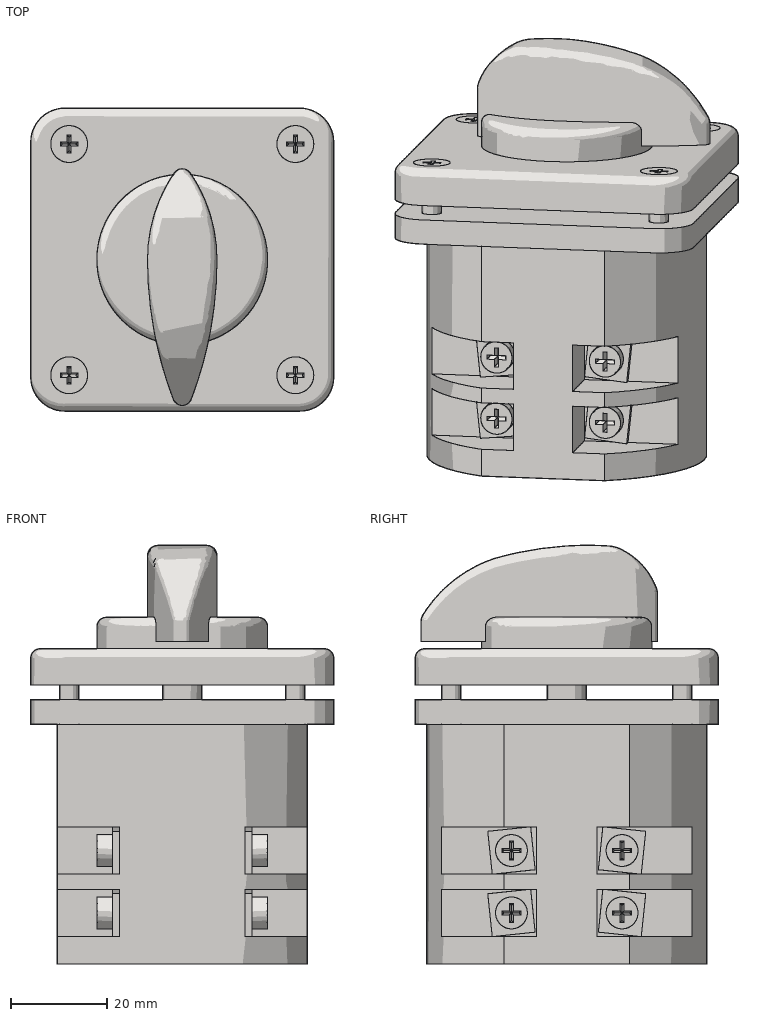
import cadquery as cq
import math

PLATE_SIZE = 63.0
CORNER_RADIUS = 7.1
EDGE_ROUND = 2.0

FLANGE_BOTTOM = 49.75
FLANGE_TOP = 54.9
COVER_BOTTOM = 57.9
COVER_TOP = 65.5
DISC_TOP = 72.0
HANDLE_BOTTOM = 67.0
KNOB_TOP = 87.0

FLAT_HALF_WIDTH = 26.0
FLAT_HALF_LENGTH = 13.05
DRUM_RADIUS = math.hypot(FLAT_HALF_WIDTH, FLAT_HALF_LENGTH)
SHAFT_RADIUS = 4.1

POCKET_FLOOR_X = 13.05
POCKET_WALL_Y = 6.3
POCKET_HEIGHT = 9.8
POCKET_LEVELS = (10.6, 23.6)

TERMINAL_Y = 11.5
CLAMP_SIZE = 9.0
CLAMP_THICKNESS = 1.5
CLAMP_TILT = 6
TERMINAL_HEAD_RADIUS = 3.3
TERMINAL_HEAD_HEIGHT = 3.1
TERMINAL_CROSS_LENGTH = 4.0
CROSS_WIDTH = 0.9
CROSS_DEPTH = 2.0

SCREW_X = 23.5
SCREW_Y = 24.0
SCREW_HEAD_RADIUS = 3.8
SCREW_HEAD_HEIGHT = 2.6
SCREW_SHANK_RADIUS = 2.0
SCREW_CROSS_LENGTH = 3.65

DISC_RADIUS = 17.75
HANDLE_HALF_WIDTH = 7.2
HANDLE_BACK_Y = 18.9
HANDLE_FRONT_Y = -30.3
TIP_RADIUS = 2.0

BACK_TIP_TOP = (HANDLE_BACK_Y, 77.3)
BACK_ARC_MIDDLE = (15.0, 83.6)
CROWN_BACK_Y = 9.8
CROWN_APEX_Y = 4.35
CROWN_FRONT_Y = -15.1
CROWN_RADIUS = 69.6
CROWN_BLEND_RADIUS = 7.0
FRONT_ARC_MIDDLE = (-23.1, 79.9)
FRONT_TIP_TOP = (HANDLE_FRONT_Y, 71.85)

SCREW_POSITIONS = [(sx * SCREW_X, sy * SCREW_Y) for sx in (-1, 1) for sy in (-1, 1)]


def rounded_plate(bottom, top):
    """Square plate with rounded vertical corners."""
    plate = cq.Workplane("XY").workplane(offset=bottom).rect(PLATE_SIZE, PLATE_SIZE).extrude(top - bottom)
    return plate.edges("|Z").fillet(CORNER_RADIUS)


def cross_recess(length):
    """Cross recess of two V-grooves with sloping ends, with its mouth at Z = 0, cut downwards."""
    half_width = CROSS_WIDTH / 2
    half_length = length / 2
    ridge_half_length = half_length - half_width
    groove = (
        cq.Workplane("YZ").workplane(offset=-half_length)
        .polyline([(-half_width, 0), (half_width, 0), (0, -CROSS_DEPTH)])
        .close().extrude(length)
    )
    sloping_ends = (
        cq.Workplane("XZ").workplane(offset=-half_width)
        .polyline([(-half_length, 0), (half_length, 0),
                   (ridge_half_length, -CROSS_DEPTH), (-ridge_half_length, -CROSS_DEPTH)])
        .close().extrude(CROSS_WIDTH)
    )
    arm = groove.intersect(sloping_ends)
    return arm.union(arm.rotate((0, 0, 0), (0, 0, 1), 90))


def cover_screw(x, y):
    """Flush-headed screw running from the cover's top face to the flange's underside."""
    shank = cq.Workplane("XY").workplane(offset=FLANGE_BOTTOM).circle(SCREW_SHANK_RADIUS)
    screw = shank.extrude(COVER_TOP - FLANGE_BOTTOM)
    head = cq.Workplane("XY").workplane(offset=COVER_TOP).circle(SCREW_HEAD_RADIUS).extrude(-SCREW_HEAD_HEIGHT)
    recess = cross_recess(SCREW_CROSS_LENGTH).translate((0, 0, COVER_TOP))
    return screw.union(head).cut(recess).translate((x, y, 0))


def terminal_pocket(level):
    """Corner pocket on the +X, +Y side, running out through the drum wall."""
    size_x = DRUM_RADIUS - POCKET_FLOOR_X
    size_y = DRUM_RADIUS - POCKET_WALL_Y
    pocket = cq.Workplane("XY").box(size_x, size_y, POCKET_HEIGHT, centered=(False, False, True))
    return pocket.translate((POCKET_FLOOR_X, POCKET_WALL_Y, level))


def terminal(level):
    """Tilted clamp plate with a cross-recessed screw head, on the floor of the +X, +Y pocket."""
    clamp = cq.Workplane("XY").rect(CLAMP_SIZE, CLAMP_SIZE).extrude(CLAMP_THICKNESS)
    clamp = clamp.rotate((0, 0, 0), (0, 0, 1), -CLAMP_TILT)
    head_top = CLAMP_THICKNESS + TERMINAL_HEAD_HEIGHT
    head = cq.Workplane("XY").circle(TERMINAL_HEAD_RADIUS).extrude(head_top)
    recess = cross_recess(TERMINAL_CROSS_LENGTH).translate((0, 0, head_top))
    stack = clamp.union(head).cut(recess).rotate((0, 0, 0), (0, 1, 0), 90)
    return stack.translate((POCKET_FLOOR_X, TERMINAL_Y, level))


def four_corners(shape):
    """Copies of a +X, +Y shape mirrored into all four corners."""
    pair = [shape, shape.mirror("YZ")]
    return pair + [half.mirror("XZ") for half in pair]


def build_housing():
    """Drum with terminals, square flange and central shaft."""
    drum = cq.Workplane("XY").circle(DRUM_RADIUS).extrude(FLANGE_BOTTOM)
    drum = drum.intersect(cq.Workplane("XY").rect(2 * FLAT_HALF_WIDTH, 2 * DRUM_RADIUS).extrude(FLANGE_BOTTOM))
    for level in POCKET_LEVELS:
        for pocket in four_corners(terminal_pocket(level)):
            drum = drum.cut(pocket)
        for clamp in four_corners(terminal(level)):
            drum = drum.union(clamp)
    flange = rounded_plate(FLANGE_BOTTOM, FLANGE_TOP)
    holes = cq.Workplane("XY").workplane(offset=FLANGE_BOTTOM).pushPoints(SCREW_POSITIONS)
    flange = flange.cut(holes.circle(SCREW_SHANK_RADIUS).extrude(FLANGE_TOP - FLANGE_BOTTOM))
    shaft = cq.Workplane("XY").workplane(offset=FLANGE_TOP).circle(SHAFT_RADIUS)
    return drum.union(flange).union(shaft.extrude(COVER_BOTTOM - FLANGE_TOP))


def crown_point(y):
    """(Y, Z) point of the handle's crown arc, whose highest point is the knob's top."""
    return (y, KNOB_TOP - CROWN_RADIUS + math.sqrt(CROWN_RADIUS**2 - (y - CROWN_APEX_Y) ** 2))


def side_arc(tip_y):
    """Middle and end of the +X side arc that runs from Y = 0 and is tangent to the round tip at tip_y."""
    tip_center = abs(tip_y) - TIP_RADIUS
    width_margin = HANDLE_HALF_WIDTH - TIP_RADIUS
    radius = (tip_center**2 + HANDLE_HALF_WIDTH**2 - TIP_RADIUS**2) / (2 * width_margin)
    end_angle = math.asin(tip_center / (radius - TIP_RADIUS))

    def point(angle):
        x = HANDLE_HALF_WIDTH - radius + radius * math.cos(angle)
        return (x, math.copysign(radius * math.sin(angle), tip_y))

    return point(end_angle / 2), point(end_angle)


def mirrored(point):
    """Point moved to the other side of the handle."""
    return (-point[0], point[1])


def build_handle():
    """Boat-shaped grip with a humped top and rounded top edges."""
    back_middle, back_end = side_arc(HANDLE_BACK_Y)
    front_middle, front_end = side_arc(HANDLE_FRONT_Y)
    prism = (
        cq.Workplane("XY").workplane(offset=HANDLE_BOTTOM)
        .moveTo(HANDLE_HALF_WIDTH, 0)
        .threePointArc(back_middle, back_end)
        .threePointArc((0, HANDLE_BACK_Y), mirrored(back_end))
        .threePointArc(mirrored(back_middle), (-HANDLE_HALF_WIDTH, 0))
        .threePointArc(mirrored(front_middle), mirrored(front_end))
        .threePointArc((0, HANDLE_FRONT_Y), front_end)
        .threePointArc(front_middle, (HANDLE_HALF_WIDTH, 0))
        .close().extrude(PLATE_SIZE)
    )
    hump = (
        cq.Workplane("YZ").workplane(offset=-PLATE_SIZE / 2)
        .moveTo(HANDLE_BACK_Y, HANDLE_BOTTOM)
        .lineTo(*BACK_TIP_TOP)
        .threePointArc(BACK_ARC_MIDDLE, crown_point(CROWN_BACK_Y))
        .threePointArc(crown_point(CROWN_APEX_Y), crown_point(CROWN_FRONT_Y))
        .threePointArc(FRONT_ARC_MIDDLE, FRONT_TIP_TOP)
        .lineTo(HANDLE_FRONT_Y, HANDLE_BOTTOM)
        .close().extrude(PLATE_SIZE)
    )
    crown_edge = cq.selectors.NearestToPointSelector((0, *crown_point(CROWN_BACK_Y)))
    hump = hump.edges(crown_edge).fillet(CROWN_BLEND_RADIUS)
    handle = prism.intersect(hump)
    rim = handle.edges("not(|X or |Z or <Z)")
    return rim.fillet(EDGE_ROUND)


def build_cover():
    """Cover plate with counterbored screw holes and the knob on top."""
    cover = rounded_plate(COVER_BOTTOM, COVER_TOP).faces(">Z").edges().fillet(EDGE_ROUND)
    disc = cq.Workplane("XY").workplane(offset=COVER_TOP).circle(DISC_RADIUS).extrude(DISC_TOP - COVER_TOP)
    disc = disc.faces(">Z").edges().fillet(EDGE_ROUND)
    for x, y in SCREW_POSITIONS:
        hole = cq.Workplane("XY").workplane(offset=COVER_BOTTOM).circle(SCREW_SHANK_RADIUS)
        seat = cq.Workplane("XY").workplane(offset=COVER_TOP).circle(SCREW_HEAD_RADIUS)
        bore = hole.extrude(COVER_TOP - COVER_BOTTOM).union(seat.extrude(-SCREW_HEAD_HEIGHT))
        cover = cover.cut(bore.translate((x, y, 0)))
    return cover.union(disc).union(build_handle())


housing = build_housing()
cover = build_cover()
screws = [cover_screw(x, y) for x, y in SCREW_POSITIONS]

result = cq.Compound.makeCompound([housing.val(), cover.val(), *[screw.val() for screw in screws]])